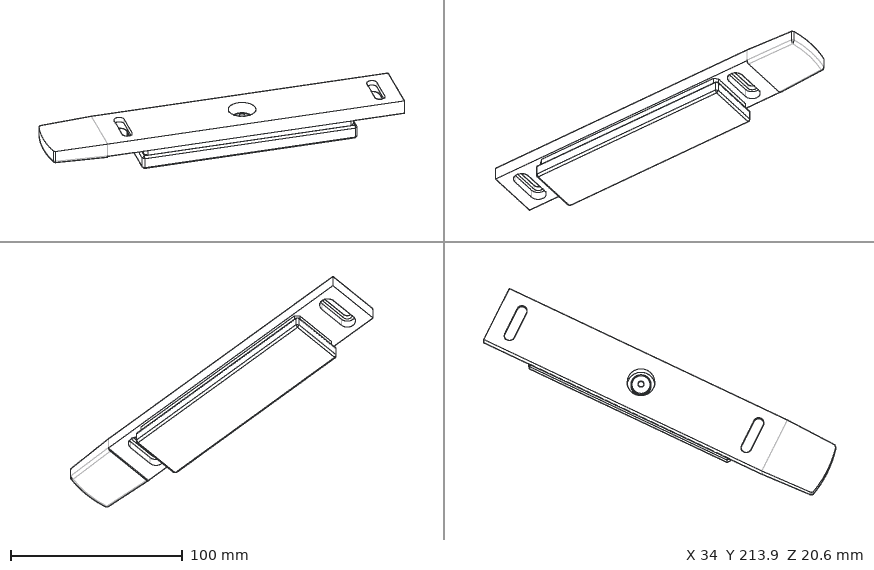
import cadquery as cq
import math

overall_length = 213.9
width = 34.0
plate_thickness = 8.3
plate_length = 179.9

nose_end_width = 31.7
nose_corner_setback = 2.0
nose_top_drop = 0.6
nose_root_drop = 1.3
nose_end_thickness = 8.1
nose_bottom_fillet = 1.7
nose_corner_chamfer = 0.9

slot_length = 22.5
slot_width = 6.0
slot_lip_thickness = 3.0
slot_relief_margin = 1.7
slot_distances = (12.5, 165.5)

body_center_y = -93.5
block_length = 130.2
block_height = 8.5
block_chamfer = 1.3
neck_length = 127.3
neck_width = 31.2
neck_height = 3.8
neck_corner_chamfer = 2.1

screw_hole_diameter = 16.0
screw_head_diameter = 11.8
screw_rim_height = 2.8
screw_dome_diameter = 10.5
screw_dome_height = 1.7
screw_socket_diameter = 3.5
screw_socket_depth = 1.7


def make_plate():
    plate = cq.Workplane("XY").box(
        width, plate_length, plate_thickness, centered=(True, False, False)
    )
    plate = plate.translate((0, -plate_length, -plate_thickness))
    slot_centers = [(0, -distance) for distance in slot_distances]
    slots = (
        cq.Workplane("XY")
        .pushPoints(slot_centers)
        .slot2D(slot_length, slot_width)
        .extrude(-plate_thickness)
    )
    reliefs = (
        cq.Workplane("XY")
        .workplane(offset=-plate_thickness)
        .pushPoints(slot_centers)
        .slot2D(slot_length + 2 * slot_relief_margin, slot_width + 2 * slot_relief_margin)
        .extrude(plate_thickness - slot_lip_thickness)
    )
    return plate.cut(slots).cut(reliefs)


def make_nose():
    root_bottom = -plate_thickness - nose_root_drop
    end_bottom = -nose_top_drop - nose_end_thickness
    side_profile = (
        cq.Workplane("YZ")
        .moveTo(-plate_length, 0)
        .lineTo(-overall_length, -nose_top_drop)
        .lineTo(-overall_length, end_bottom)
        .lineTo(-plate_length, root_bottom)
        .close()
        .extrude(width / 2, both=True)
    )
    corner_y = -overall_length + nose_corner_setback
    outline = (
        cq.Workplane("XY")
        .moveTo(-width / 2, -plate_length)
        .lineTo(-nose_end_width / 2, corner_y)
        .threePointArc((0, -overall_length), (nose_end_width / 2, corner_y))
        .lineTo(width / 2, -plate_length)
        .close()
        .extrude(root_bottom)
    )
    nose = side_profile.intersect(outline)
    nose = nose.edges("|Z").edges("not >Y").chamfer(nose_corner_chamfer)
    bottom_edges = nose.faces("<Z").edges("not >Y")
    return bottom_edges.fillet(nose_bottom_fillet)


def make_block():
    block = (
        cq.Workplane("XY")
        .box(width, block_length, block_height, centered=(True, True, False))
        .edges()
        .chamfer(block_chamfer)
    )
    block_bottom = -plate_thickness - neck_height - block_height
    return block.translate((0, body_center_y, block_bottom))


def make_neck():
    neck = (
        cq.Workplane("XY")
        .box(neck_width, neck_length, neck_height, centered=(True, True, False))
        .edges("|Z")
        .chamfer(neck_corner_chamfer)
    )
    return neck.translate((0, body_center_y, -plate_thickness - neck_height))


def make_screw_hole():
    hole = cq.Workplane("XY").circle(screw_hole_diameter / 2).extrude(-plate_thickness)
    return hole.translate((0, body_center_y, 0))


def make_screw_head():
    crown_height = screw_rim_height + screw_dome_height
    dome_base_radius = screw_dome_diameter / 2
    sphere_radius = (dome_base_radius**2 + screw_dome_height**2) / (2 * screw_dome_height)
    sphere_center = crown_height - sphere_radius
    middle_radius = dome_base_radius / 2
    middle_height = sphere_center + math.sqrt(sphere_radius**2 - middle_radius**2)
    head = (
        cq.Workplane("XZ")
        .lineTo(screw_head_diameter / 2, 0)
        .lineTo(screw_head_diameter / 2, screw_rim_height)
        .lineTo(dome_base_radius, screw_rim_height)
        .threePointArc((middle_radius, middle_height), (0, crown_height))
        .close()
        .revolve(360, (0, 0), (0, 1))
    )
    socket = (
        cq.Workplane("XY")
        .workplane(offset=crown_height)
        .circle(screw_socket_diameter / 2)
        .extrude(-screw_socket_depth)
    )
    return head.cut(socket).translate((0, body_center_y, -plate_thickness))


result = (
    make_plate()
    .union(make_nose())
    .cut(make_screw_hole())
    .union(make_neck())
    .union(make_block())
    .union(make_screw_head())
)